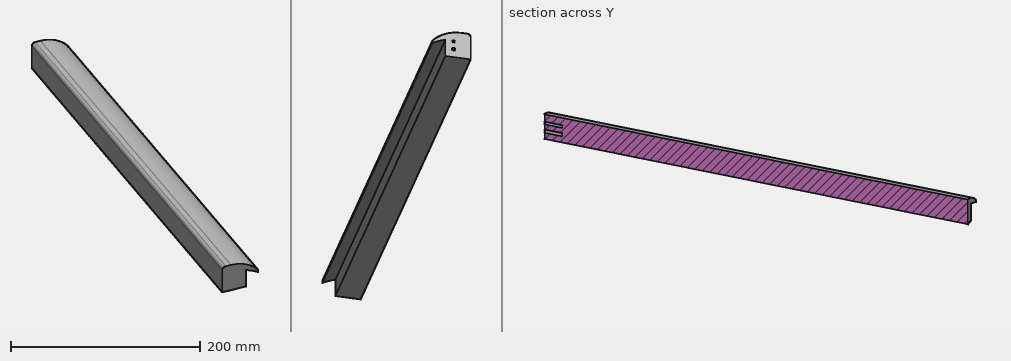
import cadquery as cq

length = 481.0
depth = 42.0
height = 31.99

body_depth = 27.7
nose_radius = 4.0
crown_back = 10.0

lip_end_top = 17.0
lip_end_bottom = 14.2
lip_root_height = 20.6
lip_underside_rise = 0.4
lip_underside_middle = (
    (body_depth + depth) / 2,
    (lip_root_height + lip_end_bottom) / 2 + lip_underside_rise,
)

hole_y = 18.8
hole_depth = 20.0
screw_holes = [(20.0, 2.8), (10.0, 3.5)]


def make_bar():
    """Constant section: a square body whose domed top runs on past the back as a lip."""
    return (
        cq.Workplane("YZ")
        .lineTo(0, height - nose_radius)
        .tangentArcPoint((nose_radius, height), relative=False)
        .lineTo(crown_back, height)
        .tangentArcPoint((depth, lip_end_top), relative=False)
        .lineTo(depth, lip_end_bottom)
        .threePointArc(lip_underside_middle, (body_depth, lip_root_height))
        .lineTo(body_depth, 0)
        .close()
        .extrude(length)
    )


def make_screw_hole(hole_height, diameter):
    """Blind round hole running in from the end face at X = 0."""
    return cq.Workplane("YZ").center(hole_y, hole_height).circle(diameter / 2).extrude(hole_depth)


result = make_bar()
for hole_height, diameter in screw_holes:
    result = result.cut(make_screw_hole(hole_height, diameter))